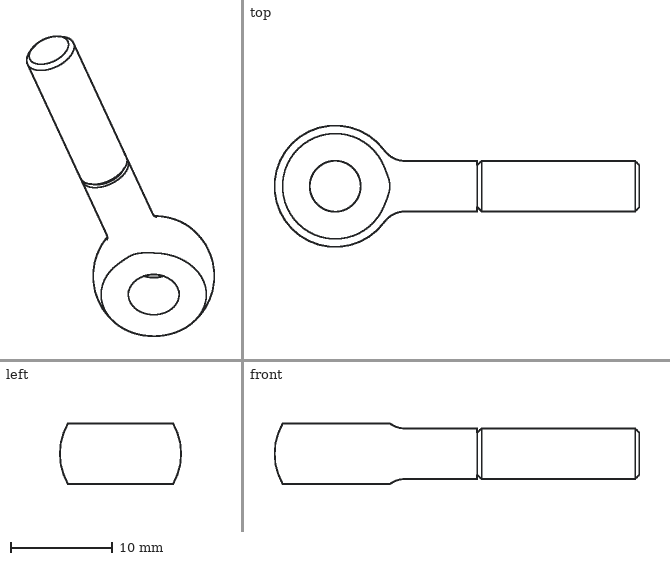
import cadquery as cq
import math

overall_length = 36.0

eye_radius = overall_length / 6
eye_thickness = eye_radius
bore_diameter = 5.0
bore_radius = bore_diameter / 2

shank_radius = bore_radius
shank_end = overall_length - eye_radius
neck_end = 6.9
rod_start = 14.0
bevel = 0.45

fillet_radius = (neck_end**2 + shank_radius**2 - eye_radius**2) / (2 * (eye_radius - shank_radius))
fillet_center_height = shank_radius + fillet_radius


def fillet_point(angle):
    """Point on the neck fillet, at an angle measured from the +X direction."""
    return (
        neck_end + fillet_radius * math.cos(angle),
        fillet_center_height + fillet_radius * math.sin(angle),
    )


def make_shank():
    """Revolve the neck, plain shank and bevelled rod about the X axis."""
    ball_angle = math.atan2(-fillet_center_height, -neck_end)
    shank_angle = -math.pi / 2
    middle_angle = (ball_angle + shank_angle) / 2
    tangent_point = fillet_point(ball_angle)
    return (
        cq.Workplane("XY")
        .moveTo(0, 0)
        .lineTo(*tangent_point)
        .threePointArc(fillet_point(middle_angle), (neck_end, shank_radius))
        .lineTo(rod_start, shank_radius)
        .lineTo(rod_start, shank_radius - bevel)
        .lineTo(rod_start + bevel, shank_radius)
        .lineTo(shank_end - bevel, shank_radius)
        .lineTo(shank_end, shank_radius - bevel)
        .lineTo(shank_end, 0)
        .close()
        .revolve(360, (0, 0, 0), (1, 0, 0))
    )


ball = cq.Workplane("XY").sphere(eye_radius)
flats = cq.Workplane("XY").box(2 * overall_length, 2 * overall_length, eye_thickness)
bore = cq.Workplane("XY").circle(bore_radius).extrude(eye_thickness, both=True)

result = ball.union(make_shank()).intersect(flats).cut(bore)